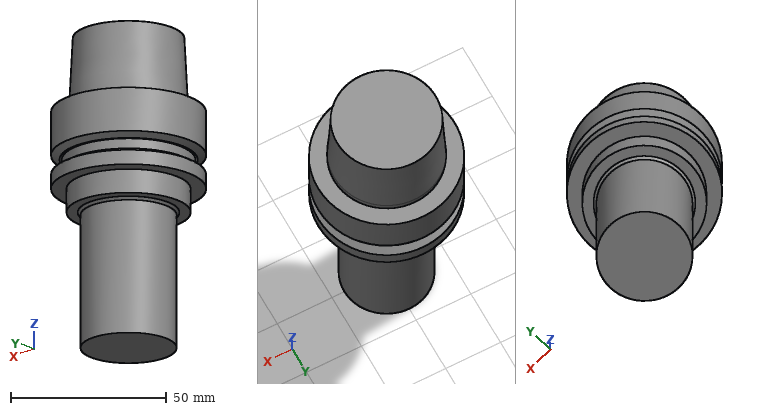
import cadquery as cq

total_height = 105.0
taper_height = 25.0
taper_root_height = 2.2
flange_height = 26.0
collar_height = 8.0
upper_rim_height = 14.7
lower_rim_height = 4.8
groove_floor_height = 3.6
neck_height = 0.9

taper_top_diameter = 36.0
taper_root_diameter = 38.3
flange_diameter = 50.0
groove_diameter = 43.0
groove_ledge_diameter = 44.5
collar_diameter = 40.0
neck_diameter = 32.8
shank_diameter = 31.0

flange_top = total_height - taper_height
taper_bottom = flange_top + taper_root_height
flange_bottom = flange_top - flange_height
collar_bottom = flange_bottom - collar_height
neck_bottom = collar_bottom - neck_height

groove_top = flange_top - upper_rim_height
groove_bottom = flange_bottom + lower_rim_height
groove_wall_height = (groove_top - groove_bottom - groove_floor_height) / 2

section = [
    (0, 0),
    (shank_diameter, 0),
    (shank_diameter, neck_bottom),
    (neck_diameter, collar_bottom),
    (collar_diameter, collar_bottom),
    (collar_diameter, flange_bottom),
    (flange_diameter, flange_bottom),
    (flange_diameter, groove_bottom),
    (groove_ledge_diameter, groove_bottom + groove_wall_height),
    (groove_diameter, groove_bottom + groove_wall_height),
    (groove_diameter, groove_top - groove_wall_height),
    (groove_ledge_diameter, groove_top - groove_wall_height),
    (flange_diameter, groove_top),
    (flange_diameter, flange_top),
    (taper_root_diameter, flange_top),
    (taper_root_diameter, taper_bottom),
    (taper_top_diameter, total_height),
    (0, total_height),
]

result = (
    cq.Workplane("XZ")
    .polyline([(diameter / 2, height) for diameter, height in section])
    .close()
    .revolve(360, (0, 0, 0), (0, 1, 0))
)